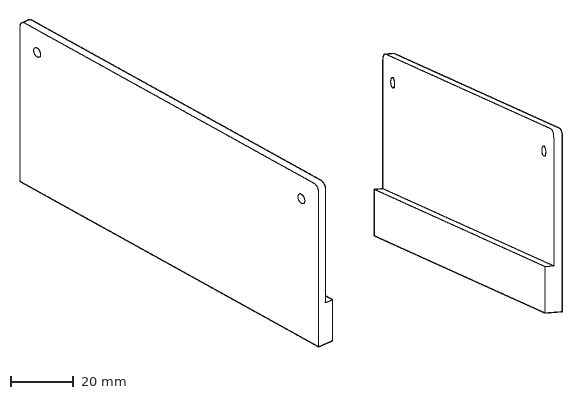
import cadquery as cq

length = 142.2
height = 59.0
plate_thickness = 3.0
corner_radius = 2.4

foot_depth = 6.0
foot_height = 15.0

hole_diameter = 3.3
hole_inset = 8.2


def make_plate():
    """Upright plate with its front face on Y = 0 and rounded top corners."""
    plate = cq.Workplane("XY").box(length, plate_thickness, height, centered=(True, False, False))
    return plate.edges("|Y and >Z").fillet(corner_radius)


def make_foot():
    """Full-length strip that doubles the thickness at the bottom."""
    return cq.Workplane("XY").box(length, foot_depth, foot_height, centered=(True, False, False))


def make_holes():
    """Cutters for the two holes through the plate."""
    hole_x = length / 2 - hole_inset
    hole_z = height - hole_inset
    return (
        cq.Workplane("XZ")
        .pushPoints([(-hole_x, hole_z), (hole_x, hole_z)])
        .circle(hole_diameter / 2)
        .extrude(-plate_thickness)
    )


result = make_plate().union(make_foot()).cut(make_holes())